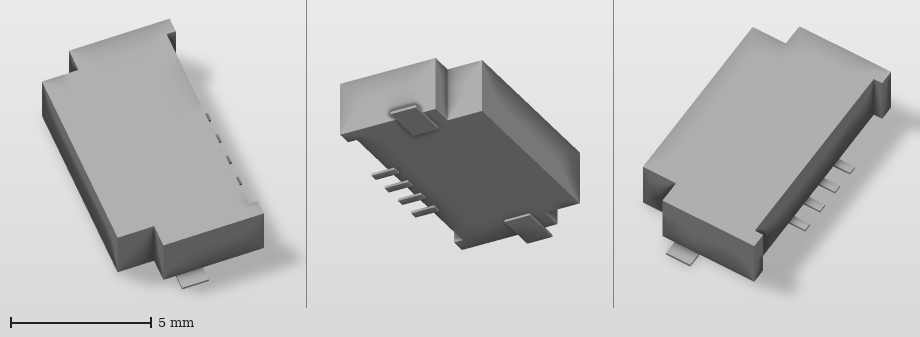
import cadquery as cq

overall_width = 10.34
overall_depth = 5.56
overall_height = 2.2
metal_thickness = 0.09
housing_width = 9.2
housing_height = overall_height - metal_thickness
nose_width = 7.38
nose_depth = 1.4
lug_width = 0.6
lug_depth = 0.35

contact_count = 4
contact_pitch = 1.0
contact_width = 0.33
contact_length = 0.94
contact_overhang = 0.31

tab_length = 1.73
tab_width = 1.02
tab_front = 1.89

lug_end = overall_depth - contact_overhang
rear_face = lug_end - lug_depth


def make_housing():
    """Block with a narrower front nose and a lug at each rear corner."""
    half_housing = housing_width / 2
    half_nose = nose_width / 2
    half_recess = half_housing - lug_width
    return (
        cq.Workplane("XY", origin=(0, 0, metal_thickness))
        .moveTo(-half_nose, 0)
        .lineTo(half_nose, 0)
        .lineTo(half_nose, nose_depth)
        .lineTo(half_housing, nose_depth)
        .lineTo(half_housing, lug_end)
        .lineTo(half_recess, lug_end)
        .lineTo(half_recess, rear_face)
        .lineTo(-half_recess, rear_face)
        .lineTo(-half_recess, lug_end)
        .lineTo(-half_housing, lug_end)
        .lineTo(-half_housing, nose_depth)
        .lineTo(-half_nose, nose_depth)
        .close()
        .extrude(housing_height)
    )


def make_plate(center_x, front_y, size_x, size_y):
    """Flat metal plate that lies on the solder plane and touches the housing."""
    return (
        cq.Workplane("XY")
        .box(size_x, size_y, metal_thickness, centered=(True, False, False))
        .translate((center_x, front_y, 0))
    )


def make_contact(index):
    """Contact strip, counted from the -X end of the row."""
    center_x = (index - (contact_count - 1) / 2) * contact_pitch
    return make_plate(center_x, overall_depth - contact_length, contact_width, contact_length)


def make_tab(side):
    """Mounting tab on the -X side (-1) or the +X side (+1)."""
    center_x = side * (overall_width - tab_length) / 2
    return make_plate(center_x, tab_front, tab_length, tab_width)


housing = make_housing()
contacts = [make_contact(index) for index in range(contact_count)]
tabs = [make_tab(side) for side in (-1, 1)]

result = cq.Compound.makeCompound(
    [
        housing.val(),
        *[contact.val() for contact in contacts],
        *[tab.val() for tab in tabs],
    ]
)